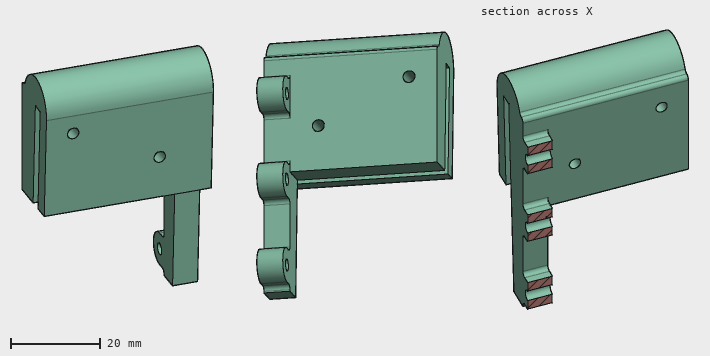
import cadquery as cq
import math

height = 60.2
length = 40.0
body_bottom = 27.8
plate_foot_width = 5.55
slope_angle = 3.25
slot_width = 3.05
crown_radius = 7.1
blend_radius = 1.0

lug_thickness = 6.0
lug_radius = 4.0
lug_reach = 6.75
lug_first_z = 5.35
lug_pitch = 20.0
lug_count = 3

hole_diameter = 2.7
screw_holes = [(27.45, 38.15), (6.5, 48.15)]

slope = math.radians(slope_angle)
crown_z = height - crown_radius


def wall_x(z):
    """X of the sloping back of the wall at height z."""
    return plate_foot_width + z * math.tan(slope)


crown_x = wall_x(crown_z)
body_right = crown_x + crown_radius


def across(distance):
    """Point on the line through the crown centre, square to the slope."""
    return (crown_x + distance * math.cos(slope), crown_z - distance * math.sin(slope))


def back_plane():
    """XZ sketch plane on the +Y end face; extrusions run toward -Y."""
    return cq.Workplane("XZ", origin=(0, length, 0))


def make_body():
    blend_x = blend_radius
    center_distance = crown_radius + blend_radius
    blend_z = crown_z + math.sqrt(center_distance**2 - (crown_x - blend_x) ** 2)
    corner_z = blend_z - 2 * blend_radius
    crown_angle = math.atan2(blend_z - crown_z, blend_x - crown_x)
    crown_start = (
        crown_x + crown_radius * math.cos(crown_angle),
        crown_z + crown_radius * math.sin(crown_angle),
    )
    blend_mid_angle = (crown_angle - math.pi - math.pi / 2) / 2
    blend_mid = (
        blend_x + blend_radius * math.cos(blend_mid_angle),
        blend_z + blend_radius * math.sin(blend_mid_angle),
    )
    diagonal = blend_radius * math.sqrt(0.5)
    leg_drop = crown_z - body_bottom
    slot_outer_x = wall_x(body_bottom) + slot_width / math.cos(slope)
    leg_outer_x = crown_x - leg_drop * math.tan(slope) + crown_radius / math.cos(slope)

    profile = (
        back_plane()
        .moveTo(0, body_bottom)
        .lineTo(0, corner_z)
        .threePointArc(
            (blend_radius - diagonal, corner_z + diagonal),
            (blend_radius, corner_z + blend_radius),
        )
        .threePointArc(blend_mid, crown_start)
        .threePointArc((crown_x, height), across(crown_radius))
        .lineTo(leg_outer_x, body_bottom)
        .lineTo(slot_outer_x, body_bottom)
        .lineTo(*across(slot_width))
        .lineTo(crown_x, crown_z)
        .lineTo(wall_x(body_bottom), body_bottom)
        .close()
    )
    return profile.extrude(length)


def make_plate():
    """Part of the wall hanging below the body, at the +Y end."""
    profile = back_plane().polyline(
        [(0, 0), (plate_foot_width, 0), (wall_x(body_bottom), body_bottom), (0, body_bottom)]
    )
    return profile.close().extrude(lug_thickness)


def make_lug(center_z):
    """Round-ended lug flaring into the wall face, with its pin hole."""
    center_x = lug_radius - lug_reach
    root = lug_radius + blend_radius
    inset = blend_radius * (1 - math.sqrt(0.5))
    profile = (
        back_plane()
        .moveTo(0, center_z + root)
        .threePointArc((-inset, center_z + lug_radius + inset), (-blend_radius, center_z + lug_radius))
        .lineTo(center_x, center_z + lug_radius)
        .threePointArc((-lug_reach, center_z), (center_x, center_z - lug_radius))
        .lineTo(-blend_radius, center_z - lug_radius)
        .threePointArc((-inset, center_z - lug_radius - inset), (0, center_z - root))
        .close()
    )
    pin_hole = back_plane().center(center_x, center_z).circle(hole_diameter / 2)
    return profile.extrude(lug_thickness).cut(pin_hole.extrude(lug_thickness))


result = make_body().union(make_plate())
for index in range(lug_count):
    result = result.union(make_lug(lug_first_z + index * lug_pitch))

screw_cutter = cq.Workplane("YZ").pushPoints(screw_holes).circle(hole_diameter / 2).extrude(body_right)
result = result.cut(screw_cutter)